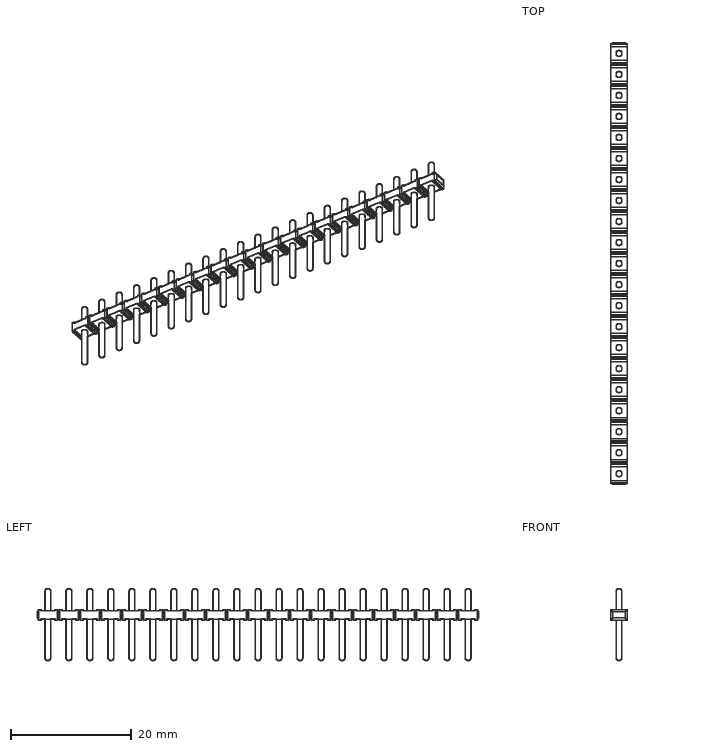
import cadquery as cq

PIN_COUNT = 21
PITCH = 3.5
STRIP_LENGTH = PIN_COUNT * PITCH

BLOCK_WIDTH = 2.8
BLOCK_HEIGHT = 1.8
TAPER_LENGTH = 0.2
TAPER_INSET = 0.4
END_FACE_WIDTH = BLOCK_WIDTH - 2 * TAPER_INSET
END_FACE_HEIGHT = BLOCK_HEIGHT - 2 * TAPER_INSET

COLLAR_LENGTH = 0.4
RECESS_DEPTH = 0.2
RECESS_LENGTH = PITCH - 2 * (TAPER_LENGTH + COLLAR_LENGTH)

PIN_DIAMETER = 1.0
PIN_ABOVE = 3.5
PIN_BELOW = 6.7


def make_end_taper():
    """Frustum closing the +Y end of a block, from the small end face back to the full section."""
    return (
        cq.Workplane("XZ", origin=(0, PITCH / 2, 0))
        .rect(END_FACE_WIDTH, END_FACE_HEIGHT)
        .workplane(offset=TAPER_LENGTH)
        .rect(BLOCK_WIDTH, BLOCK_HEIGHT)
        .loft(ruled=True)
    )


def make_block():
    """Block centred on the origin, recessed on top and underside and tapered at both ends."""
    block = cq.Workplane("XY").box(BLOCK_WIDTH, PITCH - 2 * TAPER_LENGTH, BLOCK_HEIGHT)
    recess = cq.Workplane("XY").box(BLOCK_WIDTH, RECESS_LENGTH, RECESS_DEPTH)
    for side in (1, -1):
        block = block.cut(recess.translate((0, 0, side * (BLOCK_HEIGHT - RECESS_DEPTH) / 2)))
    taper = make_end_taper()
    return block.union(taper).union(taper.mirror("XZ"))


def make_pin():
    """Round pin along Z through the middle of the block, with a hemisphere at both tips."""
    bottom = -BLOCK_HEIGHT / 2 - PIN_BELOW
    top = BLOCK_HEIGHT / 2 + PIN_ABOVE
    radius = PIN_DIAMETER / 2
    axis_start = (0, bottom)
    axis_end = (0, top)
    half_outline = (
        cq.Workplane("YZ")
        .moveTo(*axis_start)
        .radiusArc((-radius, bottom + radius), radius)
        .lineTo(-radius, top - radius)
        .radiusArc(axis_end, radius)
        .close()
    )
    return half_outline.revolve(360, axis_start, axis_end)


position = make_block().union(make_pin())
first_y = (PITCH - STRIP_LENGTH) / 2

result = position.translate((0, first_y, 0))
for index in range(1, PIN_COUNT):
    result = result.union(position.translate((0, first_y + index * PITCH, 0)), clean=False)